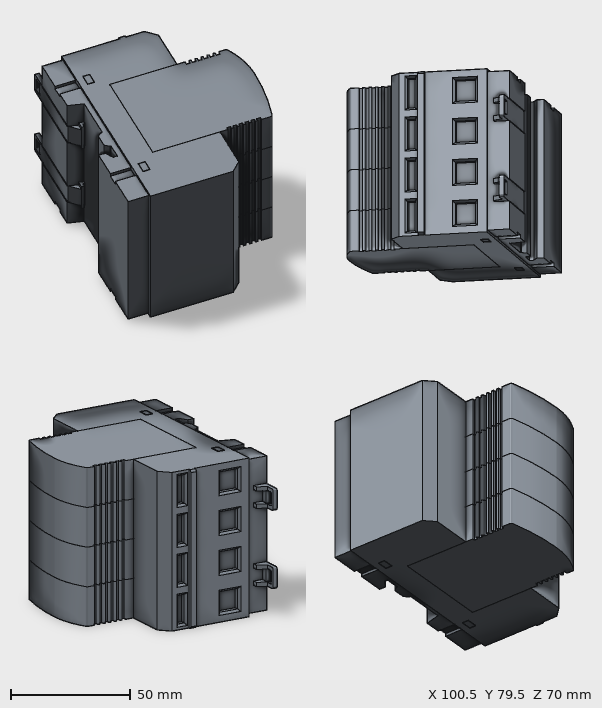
import cadquery as cq
import math


pole_count = 4
pole_pitch = 17.5
row_length = pole_count * pole_pitch
pole_steps = [i - (pole_count - 1) / 2 for i in range(pole_count)]

shell_left = -46.3
shell_right = 46.7
shell_bottom = 9.5
shell_top = 51.9
shell_corner = 4.5

ridge_bottom = 36.3
ridge_height = 2.7
ridge_thickness = 1.7
ridge_end_chamfer = 1.0

opening_pitch = 17.6
funnel_size = 1.0
opening_depth = 3.0
screw_opening_y = 42.4
screw_opening_height = 5.2
screw_opening_length = 14.6
wire_opening_y = 19.0
wire_opening_height = 10.8
wire_opening_length = 11.1

latch_x = 29.0
latch_width = 5.1
latch_window_y = 14.3
latch_window_height = 3.1
latch_window_depth = 0.2

plug_width = 45.0
plug_half = plug_width / 2
plug_bottom = 21.1
plug_top = 79.45

crown_x = -4.3
crown_radius_left = 36.0
crown_radius_right = 103.0
crown_corner_radius = 1.1

grip_top = 70.9
grip_pitch = 2.73
grip_groove_height = 1.65
grip_groove_count = 6
grip_depth_left = 1.5
grip_depth_right = 1.2
grip_edge_radius = 0.4

foot_half_width = 45.0
foot_length = row_length - 2.0
latch_notch_depth = 1.4

rail_ceiling = 7.0
jaw_x = -18.8
jaw_ceiling_x = -16.95
key_left = 1.8
key_right = 11.0
key_tip_left = 3.5
key_tip_right = 9.4
key_shoulder_y = 6.5
key_tip_y = 4.5
hook_root_x = 17.7
hook_root_y = 5.2
hook_tip_x = 14.1
hook_tip_y = 3.0

clip_z = 17.25
clip_width = 9.5
clip_tip_x = -53.8
clip_bottom = 0.3
clip_thickness = 2.0
clip_top = clip_bottom + clip_thickness
clip_tip_radius = 1.0

clip_slot_x = -50.1
clip_slot_width = 3.9
clip_slot_length = 6.0
clip_slot_radius = 0.4

cheek_width = 1.9
cheek_foot_x = -49.1
cheek_shoulder_x = -47.2
cheek_top = 6.5

catch_width = 12.5
catch_tip_x = -14.4
catch_step_x = -15.9
catch_root_x = -20.0
catch_bottom = 4.7
catch_step_y = 6.0


def block(x0, x1, y0, y1, z0, z1):
    """Box between the given limits."""
    size = (x1 - x0, y1 - y0, z1 - z0)
    return cq.Workplane("XY").box(*size, centered=False).translate((x0, y0, z0))


def bar(points, length, z=0):
    """Straight bar along Z with the given XY outline, centred on z."""
    return cq.Workplane("XY", origin=(0, 0, z)).polyline(points).close().extrude(length / 2, both=True)


def terminal_opening(y, z, height, length):
    """Cutter for a rectangular pocket with a funnel mouth in the left wall of the shell."""
    inner_height = height - 2 * funnel_size
    inner_length = length - 2 * funnel_size
    wall = cq.Workplane("YZ", origin=(shell_left, y, z))
    funnel = (
        wall.rect(height, length)
        .workplane(offset=funnel_size)
        .rect(inner_height, inner_length)
        .loft(ruled=True)
    )
    return funnel.union(wall.rect(inner_height, inner_length).extrude(opening_depth))


def make_ridge():
    """Strip along the left wall, with chamfered ends."""
    ridge = block(
        shell_left - ridge_thickness,
        shell_left,
        ridge_bottom,
        ridge_bottom + ridge_height,
        -row_length / 2,
        row_length / 2,
    )
    return ridge.faces("<X").edges("|Y").chamfer(ridge_end_chamfer)


def make_shell():
    half_length = row_length / 2
    shell = block(shell_left, shell_right, shell_bottom, shell_top, -half_length, half_length)
    shell = shell.edges("|Z and >Y").chamfer(shell_corner)
    shell = shell.union(make_ridge())

    shell = shell.cut(block(-plug_half, plug_half, plug_bottom, shell_top, -half_length, half_length))

    for step in pole_steps:
        z = step * opening_pitch
        shell = shell.cut(terminal_opening(screw_opening_y, z, screw_opening_height, screw_opening_length))
        shell = shell.cut(terminal_opening(wire_opening_y, z, wire_opening_height, wire_opening_length))

    window = cq.Workplane("XY").box(latch_width, latch_window_height, 2 * latch_window_depth)
    for x in (-latch_x, latch_x):
        for z in (-half_length, half_length):
            shell = shell.cut(window.translate((x, latch_window_y, z)))
    return shell


def crown_point(x):
    """Point on the crown, where two arcs of different radius meet level at the top."""
    radius = crown_radius_left if x < crown_x else crown_radius_right
    drop = radius - math.sqrt(radius**2 - (x - crown_x) ** 2)
    return (x, plug_top - drop)


def make_plug(z):
    """One plug centred on z, with grip grooves on both sides."""
    z0 = z - pole_pitch / 2
    z1 = z + pole_pitch / 2
    plug = (
        cq.Workplane("XY", origin=(0, 0, z0))
        .moveTo(-plug_half, plug_bottom)
        .lineTo(plug_half, plug_bottom)
        .lineTo(*crown_point(plug_half))
        .threePointArc(crown_point((plug_half + crown_x) / 2), crown_point(crown_x))
        .threePointArc(crown_point((crown_x - plug_half) / 2), crown_point(-plug_half))
        .close()
        .extrude(pole_pitch)
    )
    corners = cq.selectors.BoxSelector(
        (-plug_half - 1, grip_top, z0), (-plug_half + 1, plug_top, z1)
    ) + cq.selectors.BoxSelector((plug_half - 1, grip_top, z0), (plug_half + 1, plug_top, z1))
    plug = plug.edges("|Z").edges(corners).fillet(crown_corner_radius)

    for i in range(grip_groove_count):
        y1 = grip_top - i * grip_pitch
        y0 = y1 - grip_groove_height
        plug = plug.cut(block(-plug_half, -plug_half + grip_depth_left, y0, y1, z0, z1))
        plug = plug.cut(block(plug_half - grip_depth_right, plug_half, y0, y1, z0, z1))

    grip_bottom = grip_top - (grip_groove_count - 1) * grip_pitch - grip_groove_height
    margin = grip_edge_radius / 2
    mouths = cq.selectors.BoxSelector(
        (-plug_half - margin, grip_bottom - margin, z0), (-plug_half + margin, grip_top + margin, z1)
    )
    return plug.edges("|Z").edges(mouths).fillet(grip_edge_radius)


def make_clip_plate(z):
    """Flat tongue with rounded tip corners and a pull slot."""
    half = clip_width / 2
    plate = block(clip_tip_x, jaw_x, clip_bottom, clip_top, z - half, z + half)
    plate = plate.edges("|Y and <X").fillet(clip_tip_radius)
    slot = (
        cq.Workplane("XY")
        .box(clip_slot_width, 2 * clip_thickness, clip_slot_length)
        .edges("|Y")
        .fillet(clip_slot_radius)
    )
    return plate.cut(slot.translate((clip_slot_x, (clip_bottom + clip_top) / 2, z)))


def make_clip(z):
    """Rail clip: tongue, two cheeks outside the foot, and a wedge with a catch at the rail."""
    clip = make_clip_plate(z)

    cheek_outline = [
        (cheek_foot_x, clip_bottom),
        (cheek_foot_x, clip_top),
        (cheek_shoulder_x, cheek_top),
        (-foot_half_width, cheek_top),
        (-foot_half_width, clip_bottom),
    ]
    cheek_offset = (clip_width - cheek_width) / 2
    for cheek_z in (z - cheek_offset, z + cheek_offset):
        clip = clip.union(bar(cheek_outline, cheek_width, cheek_z))

    wedge_outline = [
        (catch_root_x, clip_bottom),
        (jaw_x, clip_bottom),
        (catch_tip_x, catch_bottom),
        (catch_root_x, catch_bottom),
    ]
    catch_outline = [
        (catch_root_x, catch_bottom),
        (catch_tip_x, catch_bottom),
        (catch_tip_x, catch_step_y),
        (catch_step_x, catch_step_y),
        (catch_step_x, rail_ceiling),
        (catch_root_x, rail_ceiling),
    ]
    return clip.union(bar(wedge_outline, clip_width, z)).union(bar(catch_outline, catch_width, z))


def make_foot():
    outline = [
        (-foot_half_width, 0),
        (jaw_x, 0),
        (jaw_ceiling_x, rail_ceiling),
        (key_left, rail_ceiling),
        (key_left, key_shoulder_y),
        (key_tip_left, key_tip_y),
        (key_tip_right, key_tip_y),
        (key_right, key_shoulder_y),
        (key_right, rail_ceiling),
        (hook_root_x, rail_ceiling),
        (hook_root_x, hook_root_y),
        (hook_tip_x, hook_tip_y),
        (hook_tip_x, 0),
        (foot_half_width, 0),
        (foot_half_width, shell_bottom),
        (-foot_half_width, shell_bottom),
    ]
    foot = bar(outline, foot_length)

    notch = cq.Workplane("XY").box(latch_width, 2 * shell_bottom, 2 * latch_notch_depth)
    for x in (-latch_x, latch_x):
        for z in (-foot_length / 2, foot_length / 2):
            foot = foot.cut(notch.translate((x, 0, z)))

    for z in (-clip_z, clip_z):
        half = clip_width / 2
        foot = foot.cut(block(-foot_half_width, jaw_ceiling_x, 0, clip_bottom, z - half, z + half))
        foot = foot.union(make_clip(z))
    return foot


shell = make_shell()
foot = make_foot()
plugs = [make_plug(step * pole_pitch) for step in pole_steps]

result = cq.Compound.makeCompound([shell.val(), foot.val(), *[plug.val() for plug in plugs]])